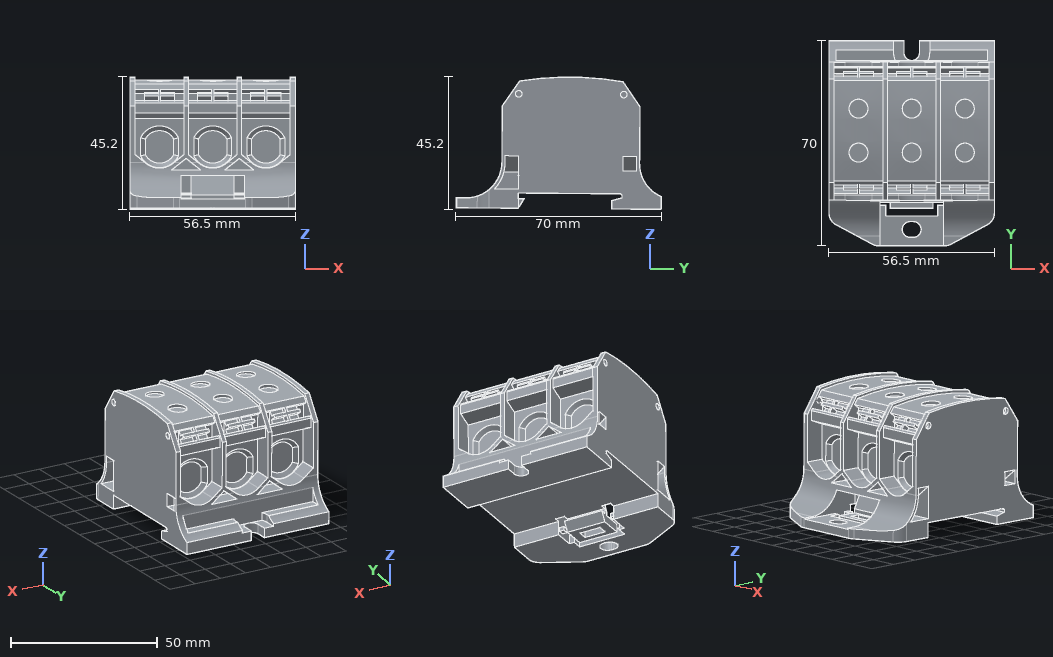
import cadquery as cq
import math


width = 56.5
overall_length = 70.0
tilt = 0.44
far = 140.05
clearance = 0.7

wall_y = 23.5
wall_top_z = 34.95
shoulder_y = 17.65
shoulder_z = 43.5
crown_z = 44.95
flare_radius = 12.05
flare_top_z = 15.55
front_foot_height = flare_top_z - flare_radius
rear_foot_height = 4.4
front_end_y = -39.0
tilt_rise = rear_foot_height * math.sin(math.radians(tilt))
rear_end_y = front_end_y + (overall_length - tilt_rise) / math.cos(math.radians(tilt))

rail_ceiling_z = 5.2
rail_front_y = -17.8
rail_notch_y = 17.5
rail_notch_z = 3.85
rail_lip_y = 14.1
rail_lip_z = 2.95
rail_notch_chamfer = 0.4

cell_count = 3
cell_pitch = 18.15
cell_width = 16.6
bore_z = 21.0
trough_radius = 7.3
trough_slant = 38.5
cell_centers = [(i - (cell_count - 1) / 2) * cell_pitch for i in range(cell_count)]
partition_centers = [(a + b) / 2 for a, b in zip(cell_centers, cell_centers[1:])]

hollow_apex_z = 17.0
hollow_floor_z = 13.1
hollow_back_y = 17.8
side_pocket_top_z = 17.9
side_pocket_floor_z = 6.6
side_pocket_depth = 7.0
pocket_skin = 1.1

peg_hole_y = 17.9
peg_hole_z = 39.1
peg_hole_radius = 1.1
peg_hole_depth = 1.4

foot_slope_angle = 28.2
foot_front_half_width = 12.4
foot_corner_radius = 4.55
front_hole_y = -33.4
front_hole_length = 6.4
front_hole_width = 5.3

window_half_width = 10.8
window_top_z = 11.2
window_back_y = -15.75
window_arm_y = -25.1
mount_plate_z = 3.1
latch_gap_half_width = 8.8
latch_gap_front_y = -28.8
latch_half_width = 7.35
latch_front_y = -26.2
latch_step_y = -19.2
latch_step_z = 4.5
hook_top_z = 3.35
tool_hole_length = 7.85
tool_hole_width = 3.5
tool_hole_y = -22.2
ledge_half_gap = 9.1
ledge_y_range = (-20.6, -18.5)
ledge_thickness = 1.4

rear_slot_width = 5.2
rear_slot_bottom_y = 24.2
screw_seat_radius = 6.15
screw_seat_z = 3.5
rear_ledge_half_width = 25.85
rear_ledge_width = 3.6
rear_ledge_z = 6.3

insert_face_y = 16.7
lip_y = 21.85
lip_bottom_z = 32.55
lip_top_z = 36.0
lip_root_z = 30.6
insert_shoulder_y = 17.15
insert_shoulder_z = 42.5
insert_crown_z = 44.0
slope_run = lip_y - insert_shoulder_y
slope_rise = insert_shoulder_z - lip_top_z
entry_radius = 7.15
entry_half_width = 6.45
entry_depth = 1.4
entry_inset = 1.6
screw_y = 7.5
screw_radius = 3.2
screw_floor_z = 42.65

grille_top_z = 40.55
bar_top_z = 39.2
bar_bottom_z = 38.3
grille_bottom_z = 36.7
grille_rib = 0.85
bar_half_width = 5.2
well_front_y = 19.5
well_wall_z = 33.95
well_inner_z = 32.2
upper_floor_depth = 1.7
lower_floor_depth = 2.65


def side_prism(points, x_size):
    """Extrude a polygon of (y, z) points evenly to both sides of X = 0."""
    return cq.Workplane("YZ").polyline(points).close().extrude(x_size / 2, both=True)


def front_prism(points, y_from, y_to):
    """Extrude a polygon of (x, z) points along Y."""
    sketch = cq.Workplane("XZ", origin=(0, y_to, 0)).polyline(points).close()
    return sketch.extrude(y_to - y_from)


def block(x_range, y_range, z_range):
    """Box given by its limits along each axis."""
    size = [high - low for low, high in (x_range, y_range, z_range)]
    corner = (x_range[0], y_range[0], z_range[0])
    return cq.Workplane("XY").box(*size, centered=False).translate(corner)


def both_ends(shape):
    """The shape and its mirror image across Y = 0."""
    return [shape, shape.mirror("XZ")]


def both_sides(shape):
    """The shape and its mirror image across X = 0."""
    return [shape, shape.mirror("YZ")]



def cell_channel():
    """Cell cross-section run along Y: straight sides, slanted corners, round bottom."""
    slant = math.radians(trough_slant)
    half = cell_width / 2
    tangent_x = trough_radius * math.sin(slant)
    tangent_z = bore_z - trough_radius * math.cos(slant)
    corner_z = tangent_z + (half - tangent_x) * math.tan(slant)
    return (
        cq.Workplane("XZ")
        .moveTo(-half, far)
        .lineTo(-half, corner_z)
        .lineTo(-tangent_x, tangent_z)
        .threePointArc((0, bore_z - trough_radius), (tangent_x, tangent_z))
        .lineTo(half, corner_z)
        .lineTo(half, far)
        .close()
        .extrude(far / 2, both=True)
    )



def housing_outline():
    """Side outline of the housing, full width."""
    flare_end_y = -wall_y - flare_radius
    flare_mid = flare_radius * math.sqrt(0.5)
    return (
        cq.Workplane("YZ")
        .moveTo(front_end_y, 0)
        .lineTo(front_end_y, front_foot_height)
        .lineTo(flare_end_y, front_foot_height)
        .threePointArc(
            (flare_end_y + flare_mid, flare_top_z - flare_mid), (-wall_y, flare_top_z)
        )
        .lineTo(-wall_y, wall_top_z)
        .lineTo(-shoulder_y, shoulder_z)
        .threePointArc((0, crown_z), (shoulder_y, shoulder_z))
        .lineTo(wall_y, wall_top_z)
        .lineTo(wall_y, flare_top_z)
        .radiusArc((rear_end_y, rear_foot_height), -flare_radius)
        .lineTo(rear_end_y, 0)
        .lineTo(rail_lip_y, 0)
        .lineTo(rail_lip_y, rail_lip_z)
        .lineTo(rail_notch_y, rail_notch_z)
        .lineTo(rail_notch_y, rail_ceiling_z - rail_notch_chamfer)
        .lineTo(rail_notch_y - rail_notch_chamfer, rail_ceiling_z)
        .lineTo(rail_front_y, rail_ceiling_z)
        .lineTo(rail_front_y, 0)
        .close()
        .extrude(width / 2, both=True)
    )


def foot_plan():
    """Plan outline: straight sides, slanted and rounded front corners."""
    half = width / 2
    run = half - foot_front_half_width
    side_end_y = front_end_y + run * math.tan(math.radians(foot_slope_angle))
    return (
        cq.Workplane("XY")
        .moveTo(-half, rear_end_y)
        .lineTo(-half, side_end_y)
        .lineTo(-foot_front_half_width, front_end_y)
        .lineTo(foot_front_half_width, front_end_y)
        .lineTo(half, side_end_y)
        .lineTo(half, rear_end_y)
        .close()
        .extrude(far)
        .edges("|Z and (not >Y)")
        .fillet(foot_corner_radius)
    )


def partition_hollow(x):
    """Triangular hollow under a partition, open at the front wall."""
    half_base = (hollow_apex_z - hollow_floor_z) / math.tan(math.radians(trough_slant))
    triangle = [
        (x - half_base, hollow_floor_z),
        (x, hollow_apex_z),
        (x + half_base, hollow_floor_z),
    ]
    return front_prism(triangle, front_end_y, -hollow_back_y)


def below_pocket_ceiling():
    """Space at the -X end wall below the slanted ceiling shared by the side pockets."""
    outer_x = -width / 2
    inner_x = outer_x + side_pocket_depth
    drop = side_pocket_depth * math.tan(math.radians(trough_slant))
    ceiling = [
        (outer_x, 0),
        (outer_x, side_pocket_top_z),
        (inner_x, side_pocket_top_z - drop),
        (inner_x, 0),
    ]
    return front_prism(ceiling, -far, far)


def front_side_pocket():
    """Pocket in the -X end wall that follows the front flare at one skin thickness."""
    outer_y = -wall_y + pocket_skin
    radius = flare_radius + pocket_skin
    center_y = -wall_y - flare_radius
    end_drop = flare_top_z - side_pocket_floor_z
    mid_drop = end_drop / 2
    end_y = center_y + math.sqrt(radius**2 - end_drop**2)
    mid_y = center_y + math.sqrt(radius**2 - mid_drop**2)
    outline = (
        cq.Workplane("YZ")
        .moveTo(-hollow_back_y, side_pocket_floor_z)
        .lineTo(-hollow_back_y, side_pocket_top_z)
        .lineTo(outer_y, side_pocket_top_z)
        .lineTo(outer_y, flare_top_z)
        .threePointArc((mid_y, flare_top_z - mid_drop), (end_y, side_pocket_floor_z))
        .close()
        .extrude(far / 2, both=True)
    )
    return outline.intersect(below_pocket_ceiling())


def rear_side_pocket():
    """Triangular pocket in the -X end wall behind the rear wall."""
    slab = block((-far, far), (hollow_back_y, wall_y - pocket_skin), (hollow_floor_z, far))
    return slab.intersect(below_pocket_ceiling())


def peg_hole(y):
    """Blind round hole in the -X end wall."""
    spot = cq.Workplane("YZ", origin=(-width / 2, 0, 0)).center(y, peg_hole_z)
    return spot.circle(peg_hole_radius).extrude(peg_hole_depth)


def latch_window():
    """Opening in the front flare around the latch, open downward beside it."""
    across = (-window_half_width, window_half_width)
    gap = (-latch_gap_half_width, latch_gap_half_width)
    window = block(across, (-far, window_back_y), (mount_plate_z, window_top_z))
    window = window.union(block(across, (window_arm_y, rail_front_y), (0, window_top_z)))
    return window.union(block(gap, (latch_gap_front_y, rail_front_y), (0, window_top_z)))


def latch():
    """Spring latch: tongue with a tool hole, sloped web up to the housing, rail hook."""
    web = [
        (latch_front_y, 0),
        (latch_front_y, mount_plate_z),
        (latch_step_y, mount_plate_z),
        (latch_step_y, latch_step_z),
        (window_back_y, window_top_z),
        (window_back_y, rail_ceiling_z),
        (rail_front_y, rail_ceiling_z),
        (rail_front_y, 0),
    ]
    hook = [
        (latch_step_y, 0),
        (latch_step_y, hook_top_z),
        (window_back_y, hook_top_z),
        (rail_front_y, 0),
    ]
    tool_hole = (
        cq.Workplane("XY")
        .center(0, tool_hole_y)
        .rect(tool_hole_length, tool_hole_width)
        .extrude(hook_top_z)
    )
    latch_width = 2 * latch_half_width
    return side_prism(web, latch_width).union(side_prism(hook, latch_width)).cut(tool_hole)


def window_ledge():
    """Small ledge on the +X side of the latch window."""
    z_range = (mount_plate_z - ledge_thickness, mount_plate_z)
    return block((ledge_half_gap, window_half_width), ledge_y_range, z_range)


def front_hole():
    """Oblong mounting hole in the front foot."""
    hole = cq.Workplane("XY").center(0, front_hole_y)
    return hole.slot2D(front_hole_length, front_hole_width).extrude(front_foot_height)


def open_slot(half_width, center_y, z_from):
    """Round-ended slot that opens at the rear edge."""
    plane = cq.Workplane("XY", origin=(0, center_y, z_from))
    height = flare_top_z - z_from
    lane = block((-half_width, half_width), (center_y, far), (z_from, flare_top_z))
    return plane.circle(half_width).extrude(height).union(lane)


def rear_foot_cuts():
    """Open mounting slot, its flat screw seat and the long flat ledges."""
    slot_center_y = rear_slot_bottom_y + rear_slot_width / 2
    behind_seat = (rear_slot_bottom_y, far)
    seat_limit = block((-far, far), behind_seat, (0, far))
    seat = open_slot(screw_seat_radius, slot_center_y, screw_seat_z).intersect(seat_limit)
    ledge = block(
        (-rear_ledge_half_width, rear_ledge_half_width),
        (rear_slot_bottom_y, rear_slot_bottom_y + rear_ledge_width),
        (rear_ledge_z, flare_top_z),
    )
    return [open_slot(rear_slot_width / 2, slot_center_y, 0), seat, ledge]


def make_housing():
    body = housing_outline().intersect(foot_plan())
    for x in cell_centers:
        body = body.cut(cell_channel().translate((x, 0, 0)))
    for x in partition_centers:
        for hollow in both_ends(partition_hollow(x)):
            body = body.cut(hollow)
    end_wall_cuts = [
        front_side_pocket(),
        rear_side_pocket(),
        peg_hole(-peg_hole_y),
        peg_hole(peg_hole_y),
    ]
    for cutter in end_wall_cuts:
        for side in both_sides(cutter):
            body = body.cut(side)
    body = body.cut(latch_window()).union(latch())
    for ledge in both_sides(window_ledge()):
        body = body.union(ledge)
    body = body.cut(front_hole())
    for cutter in rear_foot_cuts():
        body = body.cut(cutter)
    return body



def insert_outline():
    """Side outline of an insert with a lip at each end, trimmed to the cell shape."""
    outline = (
        cq.Workplane("YZ")
        .moveTo(-insert_face_y, 0)
        .lineTo(-insert_face_y, lip_root_z)
        .lineTo(-lip_y, lip_bottom_z)
        .lineTo(-lip_y, lip_top_z)
        .lineTo(-insert_shoulder_y, insert_shoulder_z)
        .threePointArc((0, insert_crown_z), (insert_shoulder_y, insert_shoulder_z))
        .lineTo(lip_y, lip_top_z)
        .lineTo(lip_y, lip_bottom_z)
        .lineTo(insert_face_y, lip_root_z)
        .lineTo(insert_face_y, 0)
        .close()
        .extrude(cell_width / 2, both=True)
    )
    return outline.intersect(cell_channel())


def slope_band(z_top, z_bottom, depth, x_size):
    """Band cut square to the front slope, between two heights on it, down to a depth."""
    slope_length = math.hypot(slope_run, slope_rise)
    inward_y = slope_rise / slope_length
    inward_z = -slope_run / slope_length

    def below_slope(z, distance):
        """Point at a distance square below the place where the slope has height z."""
        slope_y = -lip_y + (z - lip_top_z) * slope_run / slope_rise
        return (slope_y + distance * inward_y, z + distance * inward_z)

    band = [
        below_slope(z_top, depth),
        below_slope(z_top, -clearance),
        below_slope(z_bottom, -clearance),
        below_slope(z_bottom, depth),
    ]
    return side_prism(band, x_size)


def side_well():
    """Well beside the slots on the +X side, with a floor that falls towards the middle."""
    outer_x = cell_width / 2
    outline = [
        (bar_half_width, well_inner_z),
        (outer_x, well_wall_z),
        (outer_x, far),
        (bar_half_width, far),
    ]
    well = front_prism(outline, -well_front_y, -insert_face_y)
    beyond_face = block((bar_half_width, outer_x), (-far, -insert_face_y), (0, far))
    opening = slope_band(grille_top_z, grille_bottom_z, lower_floor_depth, cell_width)
    below_top = slope_band(grille_top_z, lip_bottom_z, far, cell_width)
    return well.intersect(below_top).union(opening.intersect(beyond_face))


def grille():
    """Two slots on each side of a middle rib, open at their outer ends into side wells."""
    slot_width = 2 * bar_half_width
    slots = slope_band(grille_top_z, bar_top_z, upper_floor_depth, slot_width)
    slots = slots.union(slope_band(bar_bottom_z, grille_bottom_z, lower_floor_depth, slot_width))
    rib = block((-grille_rib / 2, grille_rib / 2), (-far, far), (0, far))
    openings = slots.cut(rib)
    for well in both_sides(side_well()):
        openings = openings.union(well)
    return openings


def wire_entry():
    """Flat-sided funnel in the front face, narrowing to a flat floor."""
    flat_half_height = math.sqrt(entry_radius**2 - entry_half_width**2)
    return (
        cq.Workplane("XZ", origin=(0, -insert_face_y, bore_z))
        .moveTo(-entry_half_width, -flat_half_height)
        .lineTo(-entry_half_width, flat_half_height)
        .threePointArc((0, entry_radius), (entry_half_width, flat_half_height))
        .lineTo(entry_half_width, -flat_half_height)
        .threePointArc((0, -entry_radius), (-entry_half_width, -flat_half_height))
        .close()
        .extrude(-entry_depth, taper=math.degrees(math.atan(entry_inset / entry_depth)))
    )


def screw_recess():
    """Round recess in the top, with a level floor."""
    spot = cq.Workplane("XY", origin=(0, -screw_y, screw_floor_z))
    return spot.circle(screw_radius).extrude(crown_z - screw_floor_z)


def make_insert(x):
    body = insert_outline()
    for feature in (grille(), wire_entry(), screw_recess()):
        for cutter in both_ends(feature):
            body = body.cut(cutter)
    return body.translate((x, 0, 0))



def tip(body):
    """Tip a finished body about the X axis so its front end rises."""
    return body.rotate((0, 0, 0), (1, 0, 0), -tilt)


housing = tip(make_housing())
inserts = [tip(make_insert(x)) for x in cell_centers]

result = cq.Compound.makeCompound([housing.val(), *[insert.val() for insert in inserts]])